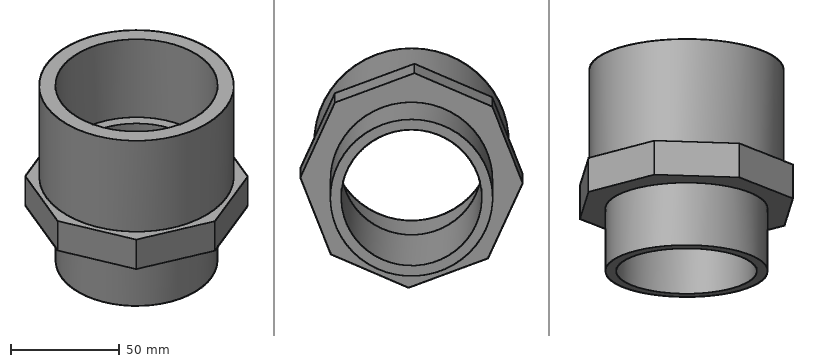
import cadquery as cq
import math

total_height = 98.0
spigot_height = 30.4
collar_height = 16.6
socket_depth = 43.8

socket_outer_diameter = 90.0
socket_bore_diameter = 75.0
spigot_diameter = socket_bore_diameter
through_bore_diameter = 65.0
collar_across_flats = 95.0

collar_sides = 8
collar_across_corners = collar_across_flats / math.cos(math.pi / collar_sides)
collar_turn = 180.0 / collar_sides

collar_top = spigot_height + collar_height
socket_floor = total_height - socket_depth


def cylinder(diameter, bottom, top):
    """Solid cylinder on the Z axis between two heights."""
    return cq.Workplane("XY").workplane(offset=bottom).circle(diameter / 2).extrude(top - bottom)


collar = (
    cq.Workplane("XY")
    .workplane(offset=spigot_height)
    .polygon(collar_sides, collar_across_corners)
    .extrude(collar_height)
    .rotate((0, 0, 0), (0, 0, 1), collar_turn)
)

spigot = cylinder(spigot_diameter, 0, spigot_height)
socket = cylinder(socket_outer_diameter, collar_top, total_height)
body = spigot.union(collar).union(socket)

through_bore = cylinder(through_bore_diameter, 0, total_height)
socket_bore = cylinder(socket_bore_diameter, socket_floor, total_height)
result = body.cut(through_bore).cut(socket_bore)